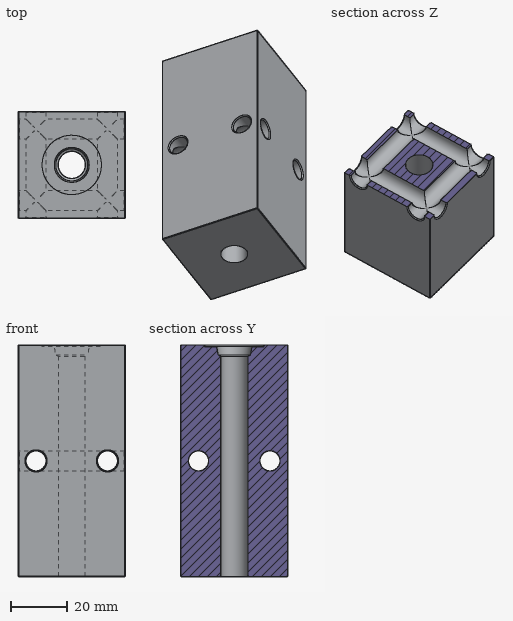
import cadquery as cq

width = 38.1
height = 82.55
edge_chamfer = 0.25

bore_diameter = 9.6
port_mouth_diameter = 12.5
port_root_diameter = 11.4
port_depth = 2.9
transition_depth = 0.5
seat_diameter = 21.1
seat_depth = 0.7

cross_hole_diameter = 7.1
cross_hole_mouth_diameter = 7.9
cross_hole_offset = 12.7


def make_block():
    return cq.Workplane("XY").box(width, width, height).edges().chamfer(edge_chamfer)


def make_port_cutter():
    """Shallow seat, tapered mouth and through bore, turned about the Z axis."""
    top = height / 2
    seat_floor = top - seat_depth
    port_floor = seat_floor - port_depth
    bore_start = port_floor - transition_depth
    return (
        cq.Workplane("XZ")
        .moveTo(0, top)
        .lineTo(seat_diameter / 2, top)
        .lineTo(seat_diameter / 2, seat_floor)
        .lineTo(port_mouth_diameter / 2, seat_floor)
        .lineTo(port_root_diameter / 2, port_floor)
        .lineTo(bore_diameter / 2, bore_start)
        .lineTo(bore_diameter / 2, -top)
        .lineTo(0, -top)
        .close()
        .revolve(360, (0, 0, 0), (0, 1, 0))
    )


def make_cross_hole_cutter():
    """Through hole along Y with a 45 degree countersink at both mouths."""
    face = width / 2
    hole_radius = cross_hole_diameter / 2
    mouth_radius = cross_hole_mouth_diameter / 2
    countersink_depth = mouth_radius - hole_radius
    return (
        cq.Workplane("XY")
        .moveTo(0, -face)
        .lineTo(mouth_radius, -face)
        .lineTo(hole_radius, -face + countersink_depth)
        .lineTo(hole_radius, face - countersink_depth)
        .lineTo(mouth_radius, face)
        .lineTo(0, face)
        .close()
        .revolve(360, (0, 0, 0), (0, 1, 0))
    )


result = make_block().cut(make_port_cutter())

for offset in (-cross_hole_offset, cross_hole_offset):
    hole_along_y = make_cross_hole_cutter().translate((offset, 0, 0))
    hole_along_x = hole_along_y.rotate((0, 0, 0), (0, 0, 1), 90)
    result = result.cut(hole_along_y).cut(hole_along_x)